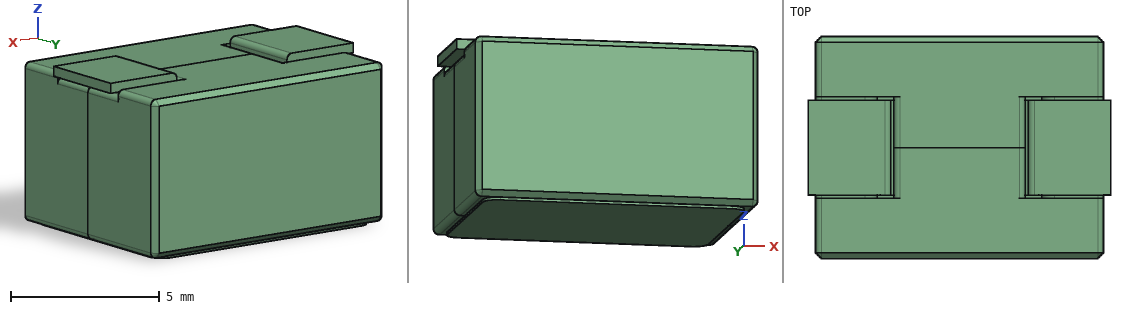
import cadquery as cq

core_length = 9.71
core_width = 7.5
core_height = 5.49
edge_radius = 0.2
corner_blunting = 0.001
side_chamfer = edge_radius - corner_blunting

plate_length = 8.98
plate_width = 7.0
plate_thickness = 0.09
plate_corner_radius = 0.5

clip_length = 10.2
clip_width = 3.2
clip_rise = 0.25
strip_thickness = 0.35
terminal_length = 2.78
terminal_bend_radius = 0.2
bridge_bend_radius = 0.1
under_bend_radius = 0.53

clearance = 0.1

terminal_end_x = -clip_length / 2
leg_inner_x = terminal_end_x + terminal_length
leg_outer_x = leg_inner_x - strip_thickness
slot_inner_x = leg_inner_x + clearance
slot_outer_x = leg_outer_x - clearance
core_end_x = -core_length / 2

terminal_top_z = core_height + clip_rise
terminal_under_z = terminal_top_z - strip_thickness
recess_floor_z = terminal_under_z - clearance
bridge_under_z = (core_height - strip_thickness) / 2
bridge_top_z = bridge_under_z + strip_thickness
tunnel_roof_z = bridge_top_z + clearance

recess_width = clip_width + 2 * clearance
floor_bend_radius = under_bend_radius - clearance

DIAGONAL = 0.5 ** 0.5


def arc_middle(centre_x, centre_z, radius, x_sign, z_sign):
    """Middle point of a quarter arc, in the quadrant given by the two signs."""
    offset = radius * DIAGONAL
    return (centre_x + x_sign * offset, centre_z + z_sign * offset)


def mirrored_strip(profile, width):
    """Close an XZ profile of the -X side, extrude it about Y = 0 and add its +X mirror."""
    side = profile.close().extrude(width / 2, both=True)
    return side.union(side.mirror("YZ"))


def make_clip():
    """Clip: terminals above the core, legs going down into it, bridge joining the legs."""
    top_bend_x = leg_inner_x - terminal_bend_radius
    top_bend_z = terminal_top_z - terminal_bend_radius
    root_x = leg_inner_x + bridge_bend_radius
    root_z = bridge_top_z + bridge_bend_radius
    under_bend_x = leg_outer_x - under_bend_radius
    under_bend_z = terminal_under_z - under_bend_radius
    profile = (
        cq.Workplane("XZ")
        .moveTo(terminal_end_x, terminal_top_z)
        .lineTo(top_bend_x, terminal_top_z)
        .threePointArc(
            arc_middle(top_bend_x, top_bend_z, terminal_bend_radius, 1, 1),
            (leg_inner_x, top_bend_z),
        )
        .lineTo(leg_inner_x, root_z)
        .threePointArc(
            arc_middle(root_x, root_z, bridge_bend_radius, -1, -1),
            (root_x, bridge_top_z),
        )
        .lineTo(0, bridge_top_z)
        .lineTo(0, bridge_under_z)
        .lineTo(leg_outer_x, bridge_under_z)
        .lineTo(leg_outer_x, under_bend_z)
        .threePointArc(
            arc_middle(under_bend_x, under_bend_z, under_bend_radius, 1, 1),
            (under_bend_x, terminal_under_z),
        )
        .lineTo(terminal_end_x, terminal_under_z)
    )
    return mirrored_strip(profile, clip_width)


def make_clip_space():
    """Space for the clip: shallow recess with a rounded outer edge, slot, and tunnel."""
    edge_x = core_end_x + edge_radius
    edge_z = recess_floor_z - edge_radius
    bend_x = slot_outer_x - floor_bend_radius
    bend_z = recess_floor_z - floor_bend_radius
    lip_x = slot_inner_x + edge_radius
    lip_z = core_height - edge_radius
    profile = (
        cq.Workplane("XZ")
        .moveTo(core_end_x, edge_z)
        .threePointArc(
            arc_middle(edge_x, edge_z, edge_radius, -1, 1),
            (edge_x, recess_floor_z),
        )
        .lineTo(bend_x, recess_floor_z)
        .threePointArc(
            arc_middle(bend_x, bend_z, floor_bend_radius, 1, 1),
            (slot_outer_x, bend_z),
        )
        .lineTo(slot_outer_x, bridge_under_z)
        .lineTo(0, bridge_under_z)
        .lineTo(0, tunnel_roof_z)
        .lineTo(slot_inner_x, tunnel_roof_z)
        .lineTo(slot_inner_x, lip_z)
        .threePointArc(
            arc_middle(lip_x, lip_z, edge_radius, -1, 1),
            (lip_x, core_height),
        )
        .lineTo(core_end_x, core_height)
    )
    return mirrored_strip(profile, recess_width)


def make_front_core_half():
    """Core half on the -Y side: rounded end edges, chamfered side face, clip space cut out."""
    half = cq.Workplane("XY").box(
        core_length, core_width / 2, core_height, centered=(True, False, False)
    )
    half = half.translate((0, -core_width / 2, 0))
    half = half.edges("|Y").fillet(edge_radius)
    half = half.faces("<Y").chamfer(side_chamfer)
    return half.cut(make_clip_space())


def make_plate():
    """Thin plate with rounded corners, flat against the underside of the core."""
    plate = cq.Workplane("XY").rect(plate_length, plate_width).extrude(-plate_thickness)
    return plate.edges("|Z").fillet(plate_corner_radius)


front_half = make_front_core_half()
core_halves = [front_half, front_half.mirror("XZ")]
clip = make_clip()
plate = make_plate()

result = cq.Compound.makeCompound(
    [*[half.val() for half in core_halves], clip.val(), plate.val()]
)